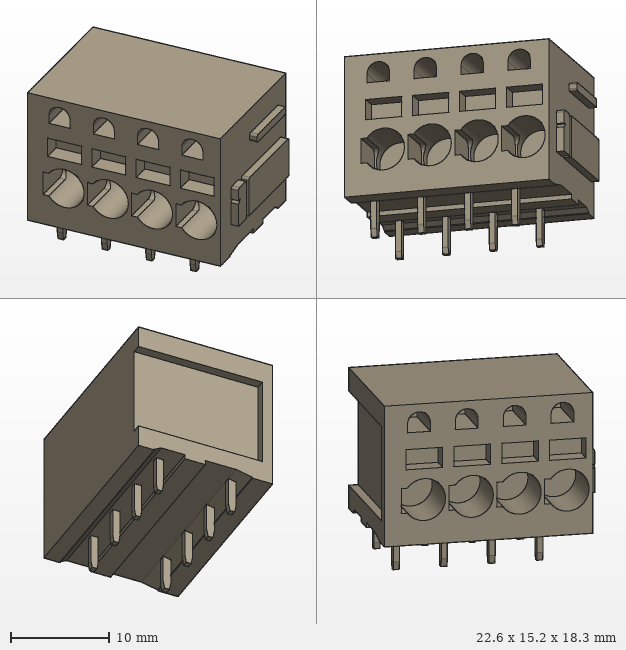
import cadquery as cq


OVERALL_WIDTH = 22.65
OVERALL_HEIGHT = 18.3

HOUSING_WIDTH = 21.81
HOUSING_DEPTH = 15.2
HOUSING_HEIGHT = 14.85

POLE_COUNT = 4
POLE_PITCH = 5.0
ENTRY_X = 4.2
PROBE_X = 3.62
PIN_X = 2.08

ENTRY_DIAMETER = 4.42
ENTRY_Z = 4.73
ENTRY_DEPTH = 5.66
SLOT_HEIGHT = 2.63
SLOT_DEPTH = 4.53
SLOT_CORNER_RADIUS = 0.72
WINDOW_WIDTH = 3.83
WINDOW_HEIGHT = 2.13
WINDOW_BOTTOM = 8.0
WINDOW_DEPTH = 2.0
PROBE_WIDTH = 2.38
PROBE_HEIGHT = 2.13
PROBE_BOTTOM = 11.9
PROBE_DEPTH = 5.66

RECESS_FRONT = 1.18
RECESS_BOTTOM = 2.45
RECESS_TOP = 12.4
RECESS_DEPTH = 1.0

HOLLOW_HEIGHT = 0.5
HOLLOW_STEP = 0.11
FRONT_FOOT_BACK = 2.29
FRONT_RAMP_TOP = 4.15
MIDDLE_FOOT_FRONT = 7.63
MIDDLE_FOOT_BACK = 9.92
REAR_RAMP_TOP = 12.62
REAR_FOOT_FRONT = 13.36

KEY_THICKNESS = OVERALL_WIDTH - HOUSING_WIDTH
KEY_RADIUS = 0.25
KEY_BOTTOM = 3.6
KEY_TOP = 8.0
RAIL_FRONT = 4.87
RAIL_BACK = 14.2
BAR_FRONT = 6.8
BAR_BACK = 13.35
BAR_TOP = 12.05
BAR_HEIGHT = 0.88
POST_FRONT = 2.51
POST_BACK = 4.37
NOTCH_TOP = 6.57
NOTCH_HEIGHT = 0.4

PIN_THICKNESS = 0.63
PIN_DROP = OVERALL_HEIGHT - HOUSING_HEIGHT
PIN_EMBED = 1.81
PIN_TIP_WIDTH = 0.55
FRONT_PIN_Y = 3.71
FRONT_PIN_WIDTH = 0.88
FRONT_PIN_TAPER = 0.85
REAR_PIN_Y = 11.91
REAR_PIN_WIDTH = 0.8
REAR_PIN_TAPER = 0.68


def box(x, y, z):
    """Block between pairs of limits along each axis."""
    size = (x[1] - x[0], y[1] - y[0], z[1] - z[0])
    return cq.Workplane("XY").box(*size, centered=False).translate((x[0], y[0], z[0]))


def side_prism(points, x_start, length):
    """(Y, Z) outline extruded along +X."""
    return cq.Workplane("YZ", origin=(x_start, 0, 0)).polyline(points).close().extrude(length)


def wire_entry(x):
    """Round hole with a round-cornered shallower slot reaching left as far as the pins."""
    hole = (
        cq.Workplane("XZ")
        .center(x, ENTRY_Z)
        .circle(ENTRY_DIAMETER / 2)
        .extrude(-ENTRY_DEPTH)
    )
    slot_left = x - ENTRY_X + PIN_X - PIN_THICKNESS / 2
    slot = box(
        (slot_left, x),
        (0, SLOT_DEPTH),
        (ENTRY_Z - SLOT_HEIGHT / 2, ENTRY_Z + SLOT_HEIGHT / 2),
    )
    slot = slot.faces(">Y").edges("|X").fillet(SLOT_CORNER_RADIUS)
    return hole.union(slot)


def window(x):
    """Rectangular blind window."""
    return box(
        (x - WINDOW_WIDTH / 2, x + WINDOW_WIDTH / 2),
        (0, WINDOW_DEPTH),
        (WINDOW_BOTTOM, WINDOW_BOTTOM + WINDOW_HEIGHT),
    )


def probe_hole(x):
    """Blind hole with a flat floor and a half-round roof."""
    radius = PROBE_WIDTH / 2
    spring_line = PROBE_BOTTOM + PROBE_HEIGHT - radius
    return (
        cq.Workplane("XZ")
        .moveTo(x - radius, PROBE_BOTTOM)
        .lineTo(x + radius, PROBE_BOTTOM)
        .lineTo(x + radius, spring_line)
        .threePointArc((x, spring_line + radius), (x - radius, spring_line))
        .close()
        .extrude(-PROBE_DEPTH)
    )


def housing_block():
    """Side profile with the hollowed underside, less the recess in the left side."""
    profile = [
        (0, 0),
        (FRONT_FOOT_BACK, 0),
        (FRONT_FOOT_BACK, HOLLOW_STEP),
        (FRONT_RAMP_TOP, HOLLOW_HEIGHT),
        (MIDDLE_FOOT_FRONT, HOLLOW_HEIGHT),
        (MIDDLE_FOOT_FRONT, 0),
        (MIDDLE_FOOT_BACK, 0),
        (MIDDLE_FOOT_BACK, HOLLOW_HEIGHT),
        (REAR_RAMP_TOP, HOLLOW_HEIGHT),
        (REAR_FOOT_FRONT, HOLLOW_STEP),
        (REAR_FOOT_FRONT, 0),
        (HOUSING_DEPTH, 0),
        (HOUSING_DEPTH, HOUSING_HEIGHT),
        (0, HOUSING_HEIGHT),
    ]
    recess = box((0, RECESS_DEPTH), (RECESS_FRONT, HOUSING_DEPTH), (RECESS_BOTTOM, RECESS_TOP))
    return side_prism(profile, 0, HOUSING_WIDTH).cut(recess)


def key_block(y, z):
    """Block standing out from the right side between limits in Y and Z."""
    return box((HOUSING_WIDTH, HOUSING_WIDTH + KEY_THICKNESS), y, z)


def rail_key():
    """Long tall rail with rounded top corners."""
    rail = key_block((RAIL_FRONT, RAIL_BACK), (KEY_BOTTOM, KEY_TOP))
    return rail.faces(">Z").edges("|X").fillet(KEY_RADIUS)


def bar_key():
    """Thin upper bar with a rounded front end."""
    bar = key_block((BAR_FRONT, BAR_BACK), (BAR_TOP - BAR_HEIGHT, BAR_TOP))
    return bar.faces("<Y").edges("|X").fillet(KEY_RADIUS)


def post_key():
    """Short block with rounded top corners and a small notch across its front."""
    post = key_block((POST_FRONT, POST_BACK), (KEY_BOTTOM, KEY_TOP))
    post = post.faces(">Z").edges("|X").fillet(KEY_RADIUS)
    notch = [
        (POST_FRONT, NOTCH_TOP),
        (POST_FRONT + NOTCH_HEIGHT, NOTCH_TOP),
        (POST_FRONT, NOTCH_TOP - NOTCH_HEIGHT),
    ]
    return post.cut(side_prism(notch, HOUSING_WIDTH, KEY_THICKNESS))


def solder_pin(x, y, width, taper):
    """Flat pin that narrows towards its tip."""
    half = width / 2
    half_tip = PIN_TIP_WIDTH / 2
    outline = [
        (y - half, PIN_EMBED),
        (y - half, taper - PIN_DROP),
        (y - half_tip, -PIN_DROP),
        (y + half_tip, -PIN_DROP),
        (y + half, taper - PIN_DROP),
        (y + half, PIN_EMBED),
    ]
    return side_prism(outline, x - PIN_THICKNESS / 2, PIN_THICKNESS)


housing = housing_block().union(rail_key()).union(bar_key()).union(post_key())
for pole in range(POLE_COUNT):
    offset = pole * POLE_PITCH
    housing = housing.cut(wire_entry(ENTRY_X + offset))
    housing = housing.cut(window(ENTRY_X + offset))
    housing = housing.cut(probe_hole(PROBE_X + offset))

pins = []
for pole in range(POLE_COUNT):
    pole_pin_x = PIN_X + pole * POLE_PITCH
    pins.append(solder_pin(pole_pin_x, FRONT_PIN_Y, FRONT_PIN_WIDTH, FRONT_PIN_TAPER))
    pins.append(solder_pin(pole_pin_x, REAR_PIN_Y, REAR_PIN_WIDTH, REAR_PIN_TAPER))
for pin in pins:
    housing = housing.cut(pin)

result = cq.Compound.makeCompound([housing.val(), *[pin.val() for pin in pins]])